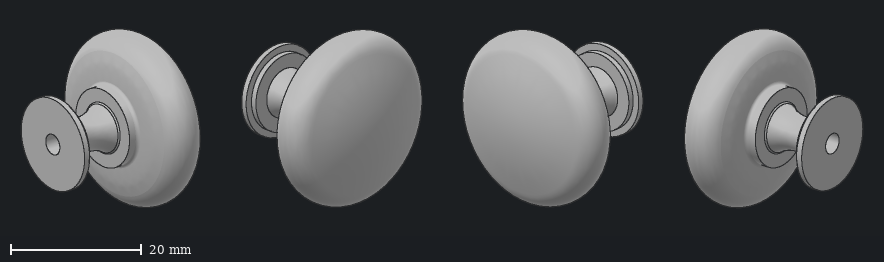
import cadquery as cq
import math

total_height = 21.5
flange_radius = 7.48
flange_top = 1.0
collar_radius = 6.33
base_collar_top = 2.0

neck_bottom_radius = 4.03
neck_top_radius = 4.12
neck_arc_radius = 3.85
neck_cone_height = 0.22
waist_radius = 2.75
neck_top = 10.0
waist_height = (base_collar_top + neck_top) / 2

head_collar_top = 11.3
head_radius = 14.0
rim_radius = 3.65
rim_height = 16.0
rim_lower_edge_radius = 11.55
rim_upper_edge_radius = 11.28
underside_radius = 6.85
underside_height = 11.82
cove_bulge = 0.08

hole_radius = 1.65
hole_depth = 10.0
drill_tip_angle = 118.0

mounting_face_y = -total_height / 2


def rim_offset(edge_radius):
    """Axial distance from the rim's widest level to the given radius on it."""
    rim_center_radius = head_radius - rim_radius
    return math.sqrt(rim_radius**2 - (edge_radius - rim_center_radius) ** 2)


def underside_mid_point(rim_edge):
    """Midpoint of the underside arc, which meets the rim tangentially."""
    chord_x = underside_radius - rim_edge[0]
    chord_y = underside_height - rim_edge[1]
    tangent_x = rim_edge[1] - rim_height
    tangent_y = head_radius - rim_radius - rim_edge[0]
    turn = math.atan2(
        chord_x * tangent_y - chord_y * tangent_x,
        chord_x * tangent_x + chord_y * tangent_y,
    )
    bulge = math.tan(turn / 2) / 2
    return (
        (underside_radius + rim_edge[0]) / 2 - bulge * chord_y,
        (underside_height + rim_edge[1]) / 2 + bulge * chord_x,
    )


def dome_mid_point(edge_radius, edge_height):
    """Midpoint of the dome arc, which is level at the axis."""
    rise = total_height - edge_height
    sphere_radius = (edge_radius**2 + rise**2) / (2 * rise)
    half_angle = math.asin(edge_radius / sphere_radius) / 2
    drop = sphere_radius * (1 - math.cos(half_angle))
    return (sphere_radius * math.sin(half_angle), total_height - drop)


def revolve_about_axis(profile):
    """Turn a (radius, height) profile about Y and seat it on the mounting face."""
    solid = profile.close().revolve(360, (0, 0, 0), (0, 1, 0))
    return solid.translate((0, mounting_face_y, 0))


def knob_body():
    lower_edge = (rim_lower_edge_radius, rim_height - rim_offset(rim_lower_edge_radius))
    upper_edge = (rim_upper_edge_radius, rim_height + rim_offset(rim_upper_edge_radius))
    cove_middle = (
        (collar_radius + underside_radius) / 2 - cove_bulge,
        (head_collar_top + underside_height) / 2 + cove_bulge,
    )
    base = (
        cq.Workplane("XY")
        .lineTo(flange_radius, 0)
        .lineTo(flange_radius, flange_top)
        .lineTo(collar_radius, flange_top)
        .lineTo(collar_radius, base_collar_top)
    )
    neck = (
        base.lineTo(neck_bottom_radius, base_collar_top)
        .lineTo(neck_arc_radius, base_collar_top + neck_cone_height)
        .threePointArc(
            (waist_radius, waist_height),
            (neck_arc_radius, neck_top - neck_cone_height),
        )
        .lineTo(neck_top_radius, neck_top)
        .lineTo(collar_radius, neck_top)
        .lineTo(collar_radius, head_collar_top)
        .threePointArc(cove_middle, (underside_radius, underside_height))
    )
    head = (
        neck.threePointArc(underside_mid_point(lower_edge), lower_edge)
        .threePointArc((head_radius, rim_height), upper_edge)
        .threePointArc(dome_mid_point(*upper_edge), (0, total_height))
    )
    return revolve_about_axis(head)


def screw_hole():
    tip_length = hole_radius / math.tan(math.radians(drill_tip_angle / 2))
    profile = (
        cq.Workplane("XY")
        .lineTo(hole_radius, 0)
        .lineTo(hole_radius, hole_depth)
        .lineTo(0, hole_depth + tip_length)
    )
    return revolve_about_axis(profile)


result = knob_body().cut(screw_hole())